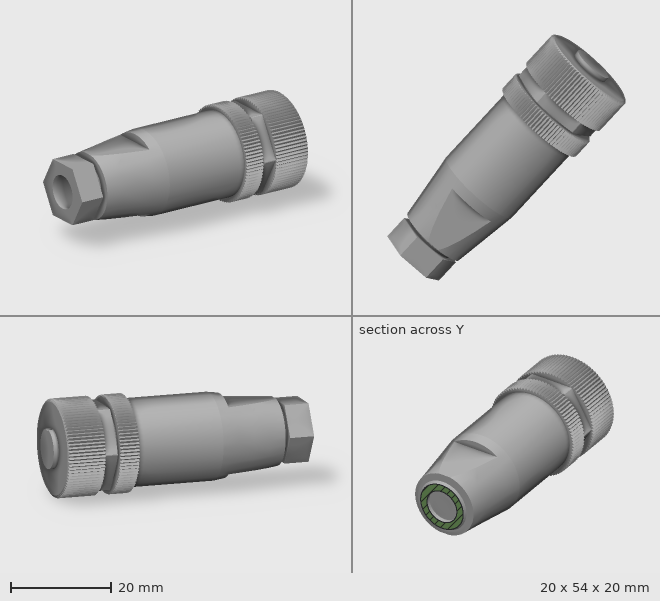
import cadquery as cq
import math


nut_end = 5.1
lip_y = 5.6
taper_start = 6.05
flat_end = 17.5
taper_end = 19.8
ring_start = 37.85
ring_end = 41.9
bevel_start = 42.2
bevel_end = 42.4
hex_end = 45.05
coupling_end = 52.9
insert_end = 54

nut_corner_radius = 6.9
bore_radius = 3.5
bore_depth = taper_start

neck_radius = 5.15
lip_radius = 5.55

body_radius = 8.9
taper_radius = 6.95
flat_height = 6.85

knurl_count = 87
knurl_crest = 10.0
knurl_valley = 9.5
ring_chamfer = 0.15
coupling_chamfer_length = 0.4
coupling_chamfer_depth = 0.6

hex_corner_radius = 9.55
hex_turned_radius = 9.5
bevel_radius = 8.0

insert_radius = 4.05
key_width = 1.2
key_depth = 0.3


def plane_at(y):
    """Plane across the axis at station y, extruding toward +Y, with local x along -X."""
    return cq.Workplane("XZ", origin=(0, y, 0)).transformed(rotate=(0, 180, 0))


def turned(points):
    """Solid of revolution about Y; points are (radius, y) from axis to axis."""
    return cq.Workplane("XY").polyline(points).close().revolve(360, (0, 0, 0), (0, 1, 0))


def cylinder(radius, y_start, y_end):
    return plane_at(y_start).circle(radius).extrude(y_end - y_start)


def hexagon(corner_radius, y_start, y_end):
    return plane_at(y_start).polygon(6, 2 * corner_radius).extrude(y_end - y_start)


def knurled_ring(y_start, y_end, chamfer_length, chamfer_depth):
    """Ring of triangular teeth, one crest on +Z, with its +Y edge chamfered."""
    points = []
    for step in range(2 * knurl_count):
        radius = knurl_crest if step % 2 == 0 else knurl_valley
        angle = math.pi / 2 + step * math.pi / knurl_count
        points.append((radius * math.cos(angle), radius * math.sin(angle)))
    teeth = plane_at(y_start).polyline(points).close().extrude(y_end - y_start)
    limit = turned([
        (0, y_start),
        (knurl_crest, y_start),
        (knurl_crest, y_end - chamfer_length),
        (knurl_crest - chamfer_depth, y_end),
        (0, y_end),
    ])
    return teeth.intersect(limit)


def clamping_nut():
    return hexagon(nut_corner_radius, 0, nut_end)


def lipped_neck():
    return turned([
        (0, nut_end),
        (neck_radius, nut_end),
        (lip_radius, lip_y),
        (neck_radius, taper_start),
        (0, taper_start),
    ])


def body():
    """Straight sleeve with a tapered front carrying a spanner flat above and below."""
    shell = turned([
        (0, taper_start),
        (taper_radius, taper_start),
        (body_radius, taper_end),
        (body_radius, ring_start),
        (0, ring_start),
    ])
    flat_length = flat_end - taper_start
    flat_y = (taper_start + flat_end) / 2
    cut_height = body_radius - flat_height
    for side in (1, -1):
        cut_z = side * (flat_height + cut_height / 2)
        cutter = cq.Workplane("XY").box(2 * body_radius, flat_length, cut_height)
        shell = shell.cut(cutter.translate((0, flat_y, cut_z)))
    return shell


def spanner_hexagon():
    """Hexagon with turned corners, its -Y end bevelled down to a round collar."""
    limit = turned([
        (0, ring_end),
        (bevel_radius, ring_end),
        (bevel_radius, bevel_start),
        (hex_turned_radius, bevel_end),
        (hex_turned_radius, hex_end),
        (0, hex_end),
    ])
    return hexagon(hex_corner_radius, ring_end, hex_end).intersect(limit)


def contact_insert():
    """Round insert with a shallow keyway along its top."""
    insert = cylinder(insert_radius, coupling_end, insert_end)
    length = insert_end - coupling_end
    keyway = cq.Workplane("XY").box(key_width, length, 2 * key_depth)
    return insert.cut(keyway.translate((0, coupling_end + length / 2, insert_radius)))


result = (
    clamping_nut()
    .union(lipped_neck())
    .union(body())
    .union(knurled_ring(ring_start, ring_end, ring_chamfer, ring_chamfer))
    .union(spanner_hexagon())
    .union(knurled_ring(hex_end, coupling_end, coupling_chamfer_length, coupling_chamfer_depth))
    .union(contact_insert())
    .cut(cylinder(bore_radius, 0, bore_depth))
)